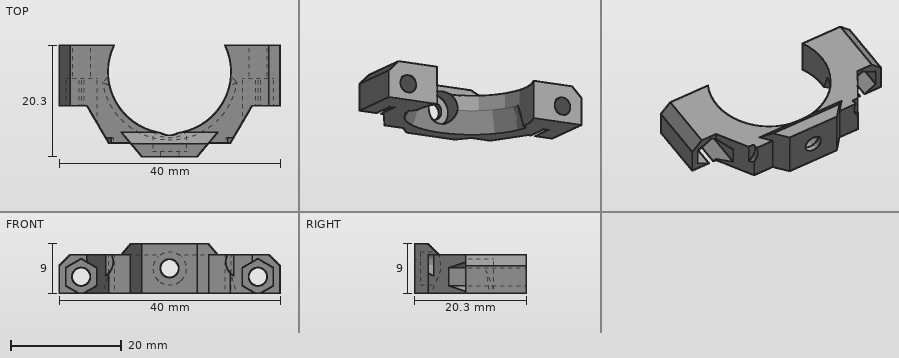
import cadquery as cq
import math

length = 40.0
depth = 20.25
height = 9.0

body_height = 7.0
ear_depth = 11.0
ear_chamfer = 2.0
shoulder_half_width = 14.95
front_half_width = 11.0
body_depth = 17.75

bore_radius = 11.1
bore_center_y = -4.9

flare_height = 4.2
flare_bottom_radius = 12.3
flare_end_angle = 45
flare_end_bottom_offset = 3.85
flare_end_top_offset = 2.5

pad_front_half_width = 5.0
pad_rear_half_width = 8.7
pad_rear_y = -15.8
pad_slope_run = 2.05

hole_diameter = 3.3
head_diameter = 6.0
pad_hole_z = 4.5
head_seat_y = -19.2
ear_hole_x = 16.0
ear_hole_z = 3.0
nut_across_flats = 5.65
nut_seat_y = -6.0

relief_x = 13.2
relief_z = 5.7
relief_rear_y = -16.75


def cylinder_along_y(diameter, x, z, front_y, rear_y):
    """Cylinder parallel to Y between two Y positions."""
    plane = cq.Workplane("XZ", origin=(x, rear_y, z))
    return plane.circle(diameter / 2).extrude(rear_y - front_y)


def make_body():
    right_side = [
        (length / 2, 0),
        (length / 2, -ear_depth),
        (shoulder_half_width, -ear_depth),
        (front_half_width, -body_depth),
    ]
    left_side = [(-x, y) for x, y in reversed(right_side)]
    body = cq.Workplane("XY").polyline(right_side + left_side).close().extrude(body_height)
    body = body.faces(">X").edges(">Z").chamfer(ear_chamfer)
    return body.faces("<X").edges(">Z").chamfer(ear_chamfer)


def make_pad():
    """Tapered pad whose raised rear edge slopes down to the body."""
    pad = (
        cq.Workplane("XY")
        .moveTo(-pad_front_half_width, -depth)
        .lineTo(pad_front_half_width, -depth)
        .lineTo(pad_rear_half_width, pad_rear_y)
        .lineTo(-pad_rear_half_width, pad_rear_y)
        .close()
        .extrude(height)
    )
    slope_waste = (
        cq.Workplane("YZ", origin=(-length / 2, 0, 0))
        .moveTo(pad_rear_y, body_height)
        .lineTo(pad_rear_y - pad_slope_run, height)
        .lineTo(pad_rear_y, height)
        .close()
        .extrude(length)
    )
    return pad.cut(slope_waste)


def make_nut_pocket(x):
    """Hexagonal pocket with a corner pointing up, open toward the front."""
    across_corners = nut_across_flats / math.cos(math.pi / 6)
    return (
        cq.Workplane("XZ", origin=(x, nut_seat_y, ear_hole_z))
        .polygon(6, across_corners)
        .extrude(depth)
        .rotate((x, 0, ear_hole_z), (x, 1, ear_hole_z), 90)
    )


def make_bore_flare():
    """Cone widening toward the underside, kept only in front of the two sloping end faces."""
    cone = (
        cq.Workplane("XY", origin=(0, bore_center_y, 0))
        .circle(flare_bottom_radius)
        .workplane(offset=flare_height)
        .circle(bore_radius)
        .loft()
    )
    front_zone = (
        cq.Workplane("YZ", origin=(-length, 0, 0))
        .moveTo(flare_end_bottom_offset, 0)
        .lineTo(flare_end_top_offset, flare_height)
        .lineTo(-length, flare_height)
        .lineTo(-length, 0)
        .close()
        .extrude(2 * length)
    )
    for turn in (-flare_end_angle, flare_end_angle):
        cone = cone.intersect(front_zone.rotate((0, 0, 0), (0, 0, 1), turn))
    return cone


bore = cq.Workplane("XY").center(0, bore_center_y).circle(bore_radius).extrude(height)
result = make_body().union(make_pad()).cut(bore).cut(make_bore_flare())

result = result.cut(cylinder_along_y(hole_diameter, 0, pad_hole_z, -depth, 0))
result = result.cut(cylinder_along_y(head_diameter, 0, pad_hole_z, head_seat_y, 0))

for side in (-1, 1):
    result = result.cut(cylinder_along_y(hole_diameter, side * ear_hole_x, ear_hole_z, -depth, 0))
    result = result.cut(make_nut_pocket(side * ear_hole_x))
    relief = cylinder_along_y(head_diameter, side * relief_x, relief_z, -body_depth, relief_rear_y)
    result = result.cut(relief)